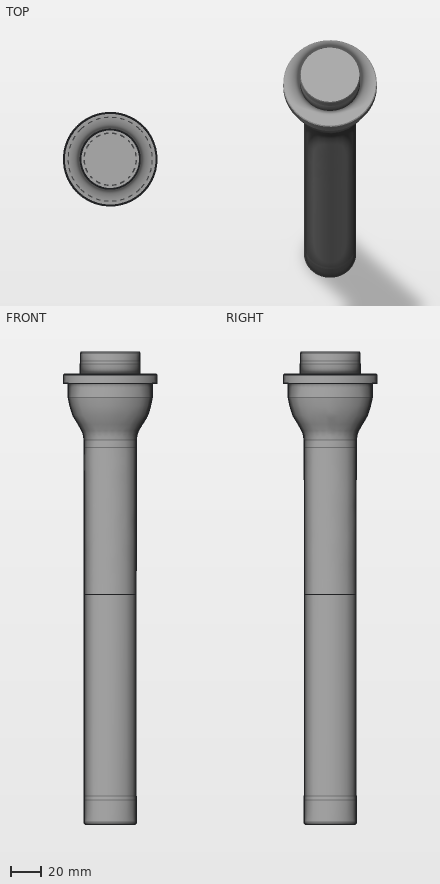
import cadquery as cq

total_height = 315.0

tube_diameter = 34.5
foot_diameter = 35.0
foot_rounding = 2.0
foot_top = 16.5
foot_taper_height = 2.8
seam_height = 153.5

neck_diameter = 35.0
neck_bottom = 251.5
neck_top = 256.0
flare_diameter = 37.2
flare_height = 261.8
bell_middle_diameter = 47.2
bell_middle_height = 270.3
bell_diameter = 56.0
bell_top = 284.5
vertical = (0, 1)
bell_rim_slope = (0.2, 1)
flange_diameter = 62.5
flange_bottom = 294.0
flange_top = 300.2
flange_chamfer = 0.5
plug_diameter = 40.0
plug_tip_diameter = 39.7
plug_taper_bottom = 306.8
plug_taper_top = 308.7
plug_chamfer_width = 0.3
plug_chamfer_height = 1.3


def revolve_outline(outline):
    """Close a half outline in the XZ plane and turn it about the Z axis."""
    return outline.close().revolve(360, (0, 0, 0), (0, 1, 0))


def make_tube():
    tube_radius = tube_diameter / 2
    foot_radius = foot_diameter / 2
    outline = (
        cq.Workplane("XZ")
        .lineTo(foot_radius - foot_rounding, 0)
        .tangentArcPoint((foot_radius, foot_rounding), relative=False)
        .lineTo(foot_radius, foot_top)
        .lineTo(tube_radius, foot_top + foot_taper_height)
        .lineTo(tube_radius, seam_height)
        .lineTo(0, seam_height)
    )
    return revolve_outline(outline)


def make_housing():
    neck_radius = neck_diameter / 2
    bell_radius = bell_diameter / 2
    bell_points = [
        (flare_diameter / 2, flare_height),
        (bell_middle_diameter / 2, bell_middle_height),
        (bell_radius, bell_top),
    ]
    flange_radius = flange_diameter / 2
    plug_radius = plug_diameter / 2
    tip_radius = plug_tip_diameter / 2
    outline = (
        cq.Workplane("XZ")
        .moveTo(0, seam_height)
        .lineTo(tube_diameter / 2, seam_height)
        .lineTo(neck_radius, neck_bottom)
        .lineTo(neck_radius, neck_top)
        .spline(bell_points, tangents=[vertical, bell_rim_slope], includeCurrent=True)
        .lineTo(bell_radius, flange_bottom)
        .lineTo(flange_radius, flange_bottom)
        .lineTo(flange_radius, flange_top - flange_chamfer)
        .lineTo(flange_radius - flange_chamfer, flange_top)
        .lineTo(plug_radius, flange_top)
        .lineTo(plug_radius, plug_taper_bottom)
        .lineTo(tip_radius, plug_taper_top)
        .lineTo(tip_radius, total_height - plug_chamfer_height)
        .lineTo(tip_radius - plug_chamfer_width, total_height)
        .lineTo(0, total_height)
    )
    return revolve_outline(outline)


tube = make_tube()
housing = make_housing()

result = cq.Compound.makeCompound([tube.val(), housing.val()])